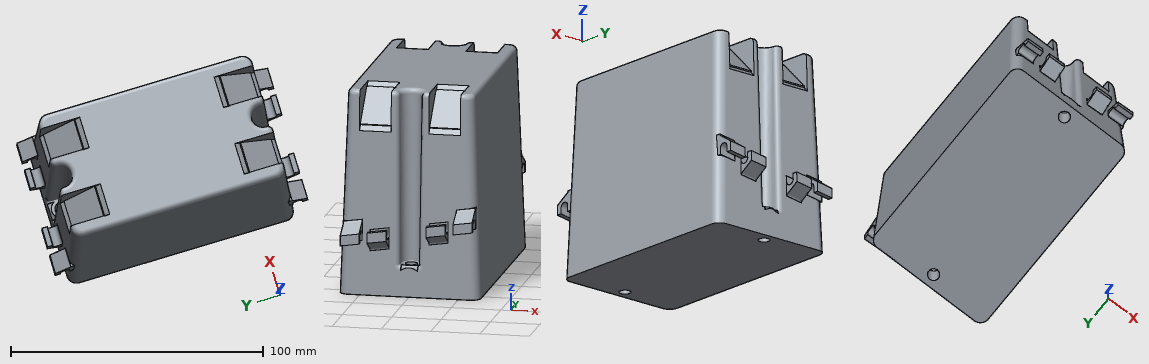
import cadquery as cq
import math

body_x = 57.0
body_y = 93.7
body_z = 82.9
draft_angle = 2.0
corner_radius = 4.0
edge_radius = 2.0

screw_y = 41.8
screw_hole_diameter = 4.8
groove_floor_z = 12.7
groove_floor_radius = 3.9
groove_draft_angle = 0.5
groove_reach = 10.5
floor_edge_radius = 0.1
sill_width = 6.8
sill_drop = 2.6

notch_x = 14.0
notch_width = 12.8
notch_height = 16.4
notch_length = 16.7
notch_inner_y = 27.9
notch_bottom_z = body_z - notch_height
notch_border = 2.0
panel_step = 0.4

hook_width = 7.7
outer_hook_x = 22.9
inner_hook_x = 12.0
hook_reach = 6.3
cable_z = 27.3
cable_slope_angle = 8.4
inner_cable_drop = 0.5
channel_radius = 2.0
root_pad = 0.1
lip_length = 2.3
knee_height = 1.8
root_height = 5.8
root_radius = 0.9
hook_embed = 4.2

draft_slope = math.tan(math.radians(draft_angle))
cable_slope = math.tan(math.radians(cable_slope_angle))


def end_face_y(z):
    """Distance of the drafted end face from the XZ plane at height z."""
    return body_y / 2 - z * draft_slope


def both_ends(shape):
    """The shape at the -Y end together with its mirror at the +Y end."""
    return shape.union(shape.mirror("XZ"))


def make_block():
    """Drafted block with rounded upright corners."""
    block = cq.Workplane("XY").rect(body_x, body_y).extrude(body_z, taper=draft_angle)
    upright_edges = block.edges("not(#Z)")
    return upright_edges.fillet(corner_radius)


def make_groove():
    """Upright slot with a round inner wall, open at the -Y face and widening upward."""
    slot = (
        cq.Workplane("XY", origin=(0, -screw_y, groove_floor_z))
        .moveTo(groove_floor_radius, 0)
        .threePointArc((0, groove_floor_radius), (-groove_floor_radius, 0))
        .lineTo(-groove_floor_radius, -groove_reach)
        .lineTo(groove_floor_radius, -groove_reach)
        .close()
        .extrude(body_z - groove_floor_z, taper=-groove_draft_angle)
    )
    return slot.faces("<Z").edges("not <Y").fillet(floor_edge_radius)


def round_rims(body):
    """Round the top edges and the groove edges that lie on the end faces."""
    rims = body.faces(">Z").edges()
    half_width = groove_floor_radius + edge_radius
    inner_y = end_face_y(notch_bottom_z)
    for side in (-1, 1):
        corner_a = (-half_width, side * inner_y, groove_floor_z - edge_radius)
        corner_b = (half_width, side * body_y / 2, body_z - edge_radius)
        rims = rims.add(body.edges(cq.selectors.BoxSelector(corner_a, corner_b)))
    return rims.fillet(edge_radius)


def make_sill_strip():
    """Strip between the screw axis and the outside, just below the groove floor."""
    return (
        cq.Workplane("XY", origin=(0, -screw_y, groove_floor_z))
        .center(0, -groove_reach / 2)
        .rect(sill_width, groove_reach)
        .extrude(-sill_drop)
    )


def make_sill(block):
    """Conical skirt that leads from the groove floor down to the end face."""
    skirt = (
        cq.Workplane("XY", origin=(0, -screw_y, groove_floor_z - sill_drop))
        .circle(groove_floor_radius + sill_drop)
        .workplane(offset=sill_drop)
        .circle(groove_floor_radius)
        .loft(ruled=True)
    )
    return skirt.intersect(make_sill_strip()).intersect(block)


def make_screw_hole():
    return cq.Workplane("XY").center(0, -screw_y).circle(screw_hole_diameter / 2).extrude(body_z)


def make_notch(x):
    """Sloped notch whose floor carries a slightly raised panel between two border strips."""
    outer_y = notch_inner_y + notch_length
    border_rise = notch_border * notch_height / notch_length
    outside = 2 * notch_length
    low = (outer_y - notch_border, notch_bottom_z + border_rise)
    high = (notch_inner_y + notch_border, body_z - border_rise)
    outline = [
        (outer_y + outside, body_z + outside),
        (outer_y + outside, notch_bottom_z),
        (outer_y, notch_bottom_z),
        low,
        (low[0] + panel_step, low[1] + panel_step),
        (high[0] + panel_step, high[1] + panel_step),
        high,
        (notch_inner_y, body_z),
        (notch_inner_y, body_z + outside),
    ]
    return (
        cq.Workplane("YZ", origin=(x - notch_width / 2, 0, 0))
        .polyline([(-y, z) for y, z in outline])
        .close()
        .extrude(notch_width)
    )


def make_hook(x_center, opening, axis_drop):
    """Cable hook sheared along the cable slope; opening is 1 for upward, -1 for downward."""
    x_start = x_center - hook_width / 2
    axis_z = cable_z - axis_drop + x_start * cable_slope

    def at(outward, rise):
        """Profile point, measured from the drafted end face and from the cable axis."""
        z = axis_z + opening * rise
        return (-end_face_y(z) - outward, z)

    channel_y = root_pad + channel_radius
    channel_end = root_pad + 2 * channel_radius
    root_slope = math.atan2(root_height - knee_height, hook_reach - root_pad)
    root_turn = math.pi / 2 - root_slope
    tangent = root_radius * math.tan(root_turn / 2)
    pad_end = -root_height - tangent
    slope_end = (
        root_pad + tangent * math.cos(root_slope),
        -root_height + tangent * math.sin(root_slope),
    )
    arc_angle = math.pi - root_turn / 2
    arc_middle = (
        root_pad + root_radius * (1 + math.cos(arc_angle)),
        pad_end + root_radius * math.sin(arc_angle),
    )
    profile = (
        cq.Workplane("YZ", origin=(x_start, 0, 0))
        .moveTo(*at(-hook_embed, lip_length))
        .lineTo(*at(root_pad, lip_length))
        .lineTo(*at(root_pad, 0))
        .threePointArc(at(channel_y, -channel_radius), at(channel_end, 0))
        .lineTo(*at(channel_end, lip_length))
        .lineTo(*at(hook_reach, lip_length))
        .lineTo(*at(hook_reach, -knee_height))
        .lineTo(*at(*slope_end))
        .threePointArc(at(*arc_middle), at(root_pad, pad_end))
        .lineTo(*at(-hook_embed, pad_end))
        .close()
    )
    rise = hook_width * cable_slope
    shear = cq.Vector(hook_width, rise * draft_slope, rise)
    return cq.Workplane(cq.Solid.extrudeLinear(profile.val(), [], shear))


block = make_block()
result = round_rims(block.cut(both_ends(make_groove())))
result = result.cut(both_ends(make_sill_strip())).union(both_ends(make_sill(block)))
result = result.cut(both_ends(make_screw_hole()))
for side in (-1, 1):
    result = result.cut(both_ends(make_notch(side * notch_x)))
    result = result.union(both_ends(make_hook(side * outer_hook_x, -1, 0)))
    result = result.union(both_ends(make_hook(side * inner_hook_x, 1, inner_cable_drop)))